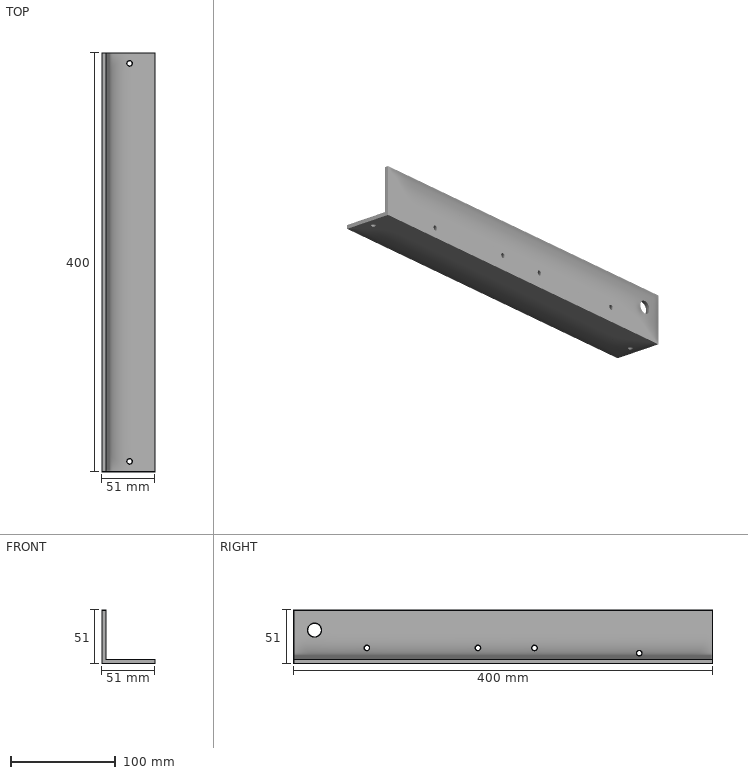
import cadquery as cq

LENGTH = 400.0
LEG = 51.0
THICKNESS = 4.0

SCREW_DIAMETER = 5.0
BASE_HOLE_X = 26.5
BASE_HOLE_END_DISTANCE = 10.0
UPRIGHT_SCREW_HOLES = [
    (70.0, 15.0),
    (176.0, 15.0),
    (230.0, 15.0),
    (330.0, 10.0),
]

LARGE_DIAMETER = 13.0
LARGE_HOLE_CENTER = (20.0, 32.0)


def angle_bar():
    """L-shaped bar with its outer corner on the Y axis."""
    base = cq.Workplane("XY").box(LEG, LENGTH, THICKNESS, centered=False)
    upright = cq.Workplane("XY").box(THICKNESS, LENGTH, LEG, centered=False)
    return base.union(upright)


def base_drill(y):
    """Vertical screw-hole cutter through the base leg."""
    return cq.Workplane("XY").center(BASE_HOLE_X, y).circle(SCREW_DIAMETER / 2).extrude(THICKNESS)


def upright_drill(center, diameter):
    """Cutter along X through the upright leg."""
    return cq.Workplane("YZ").center(*center).circle(diameter / 2).extrude(THICKNESS)


result = angle_bar()

for hole_y in (BASE_HOLE_END_DISTANCE, LENGTH - BASE_HOLE_END_DISTANCE):
    result = result.cut(base_drill(hole_y))

for screw_center in UPRIGHT_SCREW_HOLES:
    result = result.cut(upright_drill(screw_center, SCREW_DIAMETER))

result = result.cut(upright_drill(LARGE_HOLE_CENTER, LARGE_DIAMETER))